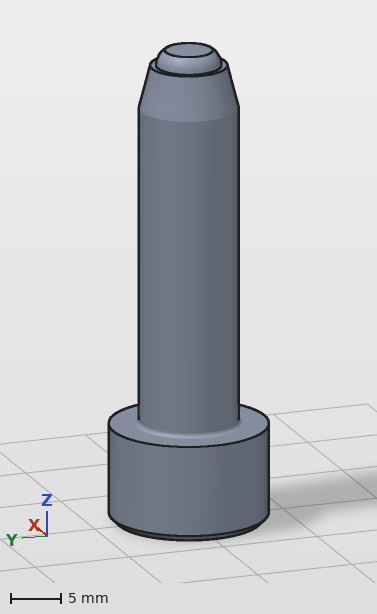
import cadquery as cq

total_length = 49.0
head_diameter = 16.0
head_height = 10.0
head_chamfer = 0.7
shank_diameter = 10.0
neck_fillet = 0.5
taper_start = 43.0
taper_end = 47.45
taper_end_diameter = 7.75
tip_diameter = 6.55
tip_flat_diameter = 4.8

head_radius = head_diameter / 2
shank_radius = shank_diameter / 2
tip_radius = tip_diameter / 2
tip_height = total_length - taper_end
tip_flat_radius = tip_flat_diameter / 2
tip_inset = tip_radius - tip_flat_radius
tip_round_radius = (tip_inset**2 + tip_height**2) / (2 * tip_inset)


def head():
    """Round head with a chamfered bottom edge."""
    return cq.Workplane("XY").circle(head_radius).extrude(head_height).faces("<Z").chamfer(head_chamfer)


def shank():
    """Cylindrical shank, tapered lead-in and narrower rounded tip, joined to the head by a fillet."""
    profile = (
        cq.Workplane("XZ")
        .moveTo(0, head_height)
        .lineTo(shank_radius + neck_fillet, head_height)
        .radiusArc((shank_radius, head_height + neck_fillet), neck_fillet)
        .lineTo(shank_radius, taper_start)
        .lineTo(taper_end_diameter / 2, taper_end)
        .lineTo(tip_radius, taper_end)
        .radiusArc((tip_flat_radius, total_length), -tip_round_radius)
        .lineTo(0, total_length)
        .close()
    )
    return profile.revolve(360, (0, 0, 0), (0, 1, 0))


result = head().union(shank())